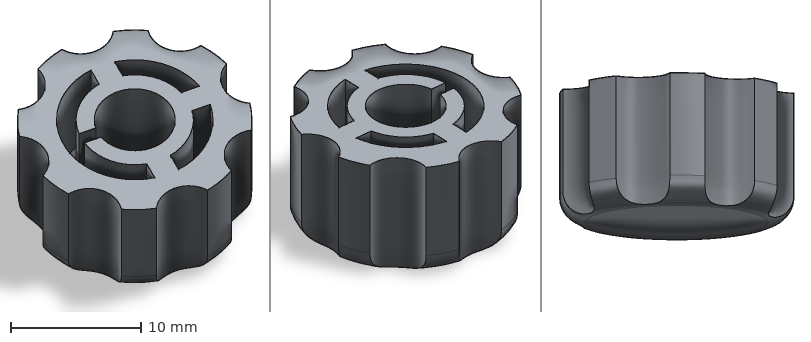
import cadquery as cq

knob_radius = 9.0
knob_height = 10.0
base_fillet_radius = 2.0

scallop_count = 8
scallop_radius = 2.5
scallop_center_radius = 10.0

floor_thickness = 2.0
pocket_depth = knob_height - floor_thickness
pocket_radius = 6.0
sleeve_outer_radius = 4.5
sleeve_bore_radius = 3.1
sleeve_slot_width = 1.0

rib_width = 2.0
rib_angles = (0, 90, 180)
slot_angle = 270


def radial_bar(width, inner_radius, outer_radius, angle):
    """Bar from the pocket floor to the top face, pointing outwards at the given angle."""
    length = outer_radius - inner_radius
    return (
        cq.Workplane("XY", origin=(0, 0, floor_thickness))
        .center((inner_radius + outer_radius) / 2, 0)
        .rect(length, width)
        .extrude(pocket_depth)
        .rotate((0, 0, 0), (0, 0, 1), angle)
    )


def make_body():
    """Round knob with a filleted bottom edge and scalloped sides."""
    body = cq.Workplane("XY").circle(knob_radius).extrude(knob_height)
    body = body.faces("<Z").edges().fillet(base_fillet_radius)
    scallops = (
        cq.Workplane("XY")
        .polarArray(scallop_center_radius, 0, 360, scallop_count)
        .circle(scallop_radius)
        .extrude(knob_height)
    )
    return body.cut(scallops)


def make_pocket():
    """Volume removed from the top, leaving the split sleeve and its ribs."""
    floor = cq.Workplane("XY", origin=(0, 0, floor_thickness))
    pocket = floor.circle(pocket_radius).circle(sleeve_outer_radius).extrude(pocket_depth)
    for angle in rib_angles:
        pocket = pocket.cut(radial_bar(rib_width, sleeve_bore_radius, pocket_radius, angle))
    bore = floor.circle(sleeve_bore_radius).extrude(pocket_depth)
    slot = radial_bar(sleeve_slot_width, 0, sleeve_outer_radius, slot_angle)
    return pocket.union(bore).union(slot)


result = make_body().cut(make_pocket())